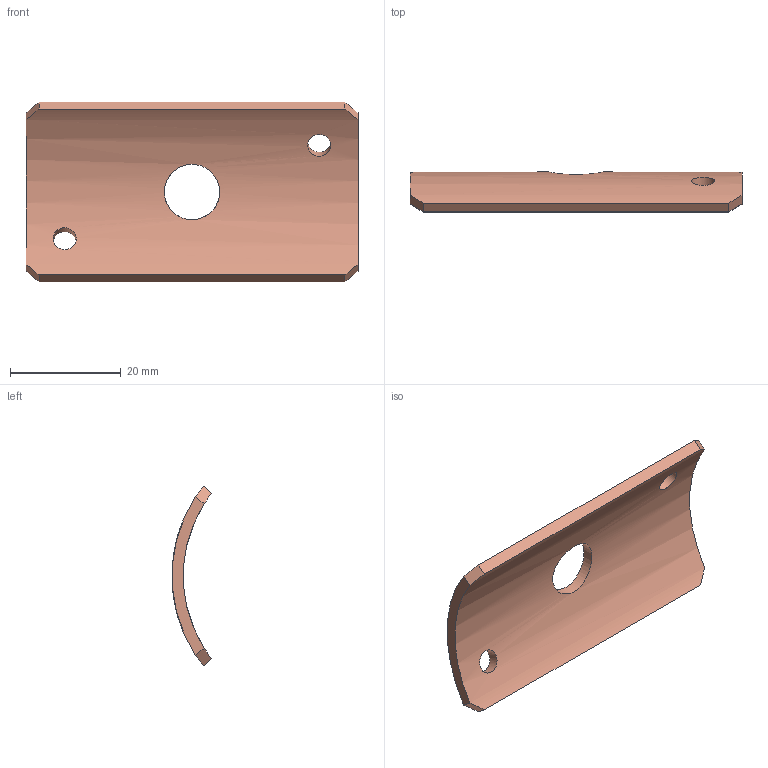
import cadquery as cq
import math

length = 60.0
height = 32.48
outer_radius = 26.17
thickness = 2.0
corner_chamfer = 2.4
center_hole_diameter = 10.0
small_hole_diameter = 4.2
small_hole_x = 23.0
small_hole_angle = 20.5

inner_radius = outer_radius - thickness
half_angle = math.degrees(math.asin(height / 2 / outer_radius))
cutter_length = outer_radius + thickness


def arc_point(radius, angle):
    """Point (y, z) at an angle from the +Y direction around the bend axis."""
    radians = math.radians(angle)
    return (radius * math.cos(radians), radius * math.sin(radians))


def bent_plate():
    """Arc-shaped strip with radial long edges, centred on X = 0 and Z = 0."""
    return (
        cq.Workplane("YZ")
        .moveTo(*arc_point(outer_radius, -half_angle))
        .threePointArc((outer_radius, 0), arc_point(outer_radius, half_angle))
        .lineTo(*arc_point(inner_radius, half_angle))
        .threePointArc((inner_radius, 0), arc_point(inner_radius, -half_angle))
        .close()
        .extrude(length / 2, both=True)
    )


def chamfer_corners(plate):
    """Chamfer the four radial edges where the ends meet the long edges."""
    return plate.faces("<X or >X").edges("%LINE").chamfer(corner_chamfer)


def drill_radial_hole(plate, x, angle, diameter):
    """Drill a through hole pointing outward from the bend axis at the given angle."""
    start = cq.Vector(x, 0, 0)
    direction = cq.Vector(0, *arc_point(1, angle))
    cutter = cq.Solid.makeCylinder(diameter / 2, cutter_length, start, direction)
    return plate.cut(cq.Workplane(cutter))


result = chamfer_corners(bent_plate())
result = drill_radial_hole(result, 0, 0, center_hole_diameter)

for side in (-1, 1):
    result = drill_radial_hole(
        result, side * small_hole_x, side * small_hole_angle, small_hole_diameter
    )